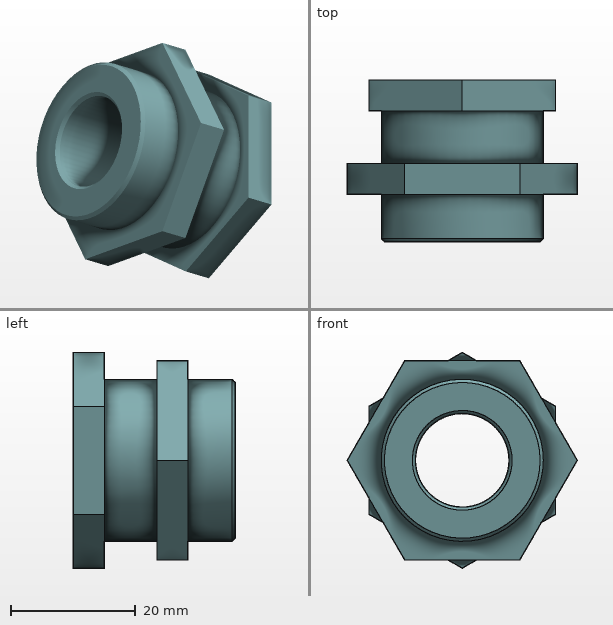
import cadquery as cq
import math

length = 26.0
body_diameter = 26.0
bore_diameter = 14.95
chamfer = 0.5
hex_thickness = 5.0
nut_corners = 36.95
head_flats = 30.0
nut_setback = 7.6

head_corners = head_flats / math.cos(math.pi / 6)


def section(front_y):
    """Workplane across the axis, extruding toward +Y."""
    plane = cq.Plane(origin=(0, front_y, 0), xDir=(1, 0, 0), normal=(0, 1, 0))
    return cq.Workplane(plane)


def hexagon(front_y, corners, turn):
    """Hexagonal plate, turned about the Y axis by the given angle."""
    plate = section(front_y).polygon(6, corners).extrude(hex_thickness)
    return plate.rotate((0, 0, 0), (0, 1, 0), turn)


body = section(0).circle(body_diameter / 2).extrude(length)
body = body.faces("<Y").chamfer(chamfer)

nut = hexagon(nut_setback, nut_corners, 0)
head = hexagon(length - hex_thickness, head_corners, 30)

bore = section(0).circle(bore_diameter / 2).extrude(length)

result = body.union(nut).union(head).cut(bore)
result = result.faces("<Y").edges(cq.selectors.RadiusNthSelector(0)).chamfer(chamfer)